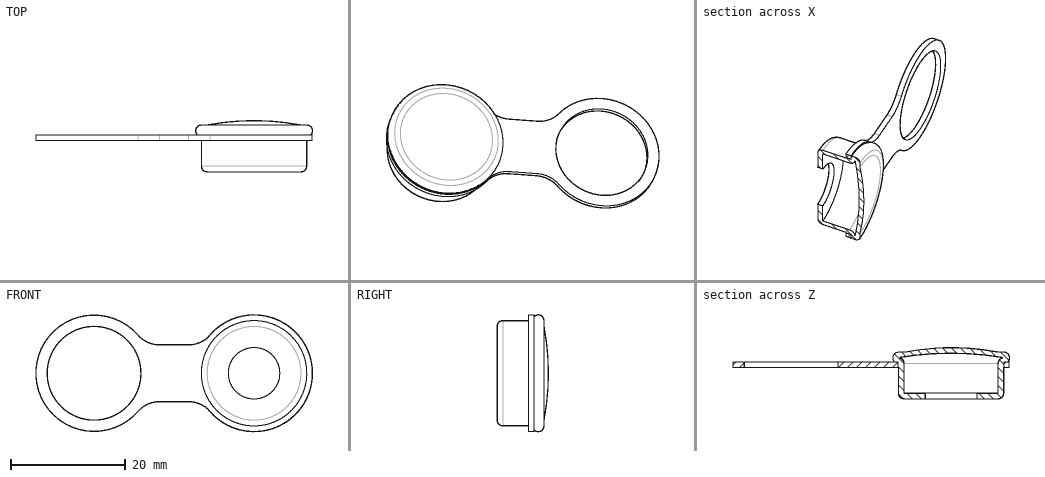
import cadquery as cq
import math


STRAP_THICKNESS = 1.0
STRAP_END_DIAMETER = 20.4
RING_HOLE_RADIUS = 8.2
CENTRE_DISTANCE = 28.0
NECK_HALF_WIDTH = 5.0
NECK_FILLET = 5.0

PLUG_DIAMETER = 18.45
PLUG_LENGTH = 5.47
PLUG_EDGE_FILLET = 1.0
HEAD_DIAMETER = 20.5
HEAD_THICKNESS = 1.75
DOME_HEIGHT = 0.78
MOUTH_RADIUS = 4.5
MOUTH_DEPTH = 1.0

strap_end_radius = STRAP_END_DIAMETER / 2
plug_radius = PLUG_DIAMETER / 2
head_radius = HEAD_DIAMETER / 2
head_base = PLUG_LENGTH + STRAP_THICKNESS
head_top = head_base + HEAD_THICKNESS
rim_radius = head_radius - plug_radius
cavity_radius = plug_radius - rim_radius
rim_centre = head_top - rim_radius


def disc(radius, x, start, length):
    """Cylinder along +Y, centred on (x, 0) and beginning at Y = start."""
    return cq.Workplane(cq.Solid.makeCylinder(radius, length, cq.Vector(x, start, 0), cq.Vector(0, 1, 0)))


def make_neck():
    """Bar between the two strap ends, flared by arcs tangent to both end circles."""
    arc_distance = strap_end_radius + NECK_FILLET
    arc_z = NECK_HALF_WIDTH + NECK_FILLET
    arc_offset = math.sqrt(arc_distance**2 - arc_z**2)
    touch_offset = arc_offset * strap_end_radius / arc_distance
    touch_z = arc_z * strap_end_radius / arc_distance
    half_turn = math.atan2(arc_offset, arc_z) / 2
    middle_offset = arc_offset - NECK_FILLET * math.sin(half_turn)
    middle_z = arc_z - NECK_FILLET * math.cos(half_turn)
    left = -CENTRE_DISTANCE
    return (
        cq.Workplane("XZ", origin=(0, head_base, 0))
        .moveTo(left + touch_offset, touch_z)
        .threePointArc((left + middle_offset, middle_z), (left + arc_offset, NECK_HALF_WIDTH))
        .lineTo(-arc_offset, NECK_HALF_WIDTH)
        .threePointArc((-middle_offset, middle_z), (-touch_offset, touch_z))
        .lineTo(-touch_offset, -touch_z)
        .threePointArc((-middle_offset, -middle_z), (-arc_offset, -NECK_HALF_WIDTH))
        .lineTo(left + arc_offset, -NECK_HALF_WIDTH)
        .threePointArc((left + middle_offset, -middle_z), (left + touch_offset, -touch_z))
        .close()
        .extrude(STRAP_THICKNESS)
    )


def make_strap():
    """Flat strap with an open ring at one end and the plug's hole at the other."""
    strap = make_neck()
    ends = ((-CENTRE_DISTANCE, RING_HOLE_RADIUS), (0, plug_radius))
    for x, _ in ends:
        strap = strap.union(disc(strap_end_radius, x, PLUG_LENGTH, STRAP_THICKNESS))
    for x, hole_radius in ends:
        strap = strap.cut(disc(hole_radius, x, PLUG_LENGTH, STRAP_THICKNESS))
    return strap


def sphere_radius(base_radius):
    """Radius of the sphere whose cap of height DOME_HEIGHT has the given base radius."""
    return (base_radius**2 + DOME_HEIGHT**2) / (2 * DOME_HEIGHT)


def make_head():
    """Head with a rounded rim, a flat border and a shallow dome in the middle."""
    rim_drop = rim_centre - head_base
    base_radius = plug_radius + math.sqrt(rim_radius**2 - rim_drop**2)
    return (
        cq.Workplane("XY")
        .moveTo(0, head_base)
        .lineTo(base_radius, head_base)
        .threePointArc((head_radius, rim_centre), (plug_radius, head_top))
        .lineTo(cavity_radius, head_top)
        .radiusArc((0, head_top + DOME_HEIGHT), -sphere_radius(cavity_radius))
        .close()
        .revolve(360, (0, 0), (0, 1))
    )


def make_recess():
    """Narrow mouth and wider cavity, flared inside the head up to a domed ceiling."""
    flare_start = rim_centre - rim_radius
    flare_reach = rim_radius * math.sqrt(0.5)
    return (
        cq.Workplane("XY")
        .lineTo(MOUTH_RADIUS, 0)
        .lineTo(MOUTH_RADIUS, MOUTH_DEPTH)
        .lineTo(cavity_radius, MOUTH_DEPTH)
        .lineTo(cavity_radius, flare_start)
        .threePointArc((plug_radius - flare_reach, flare_start + flare_reach), (plug_radius, rim_centre))
        .radiusArc((0, rim_centre + DOME_HEIGHT), -sphere_radius(plug_radius))
        .close()
        .revolve(360, (0, 0), (0, 1))
    )


def make_cap():
    """Hollow plug closed by the domed head."""
    plug = disc(plug_radius, 0, 0, head_base).faces("<Y").edges().fillet(PLUG_EDGE_FILLET)
    return plug.union(make_head()).cut(make_recess())


strap = make_strap()
cap = make_cap()
result = cq.Compound.makeCompound([strap.solids().val(), cap.solids().val()])